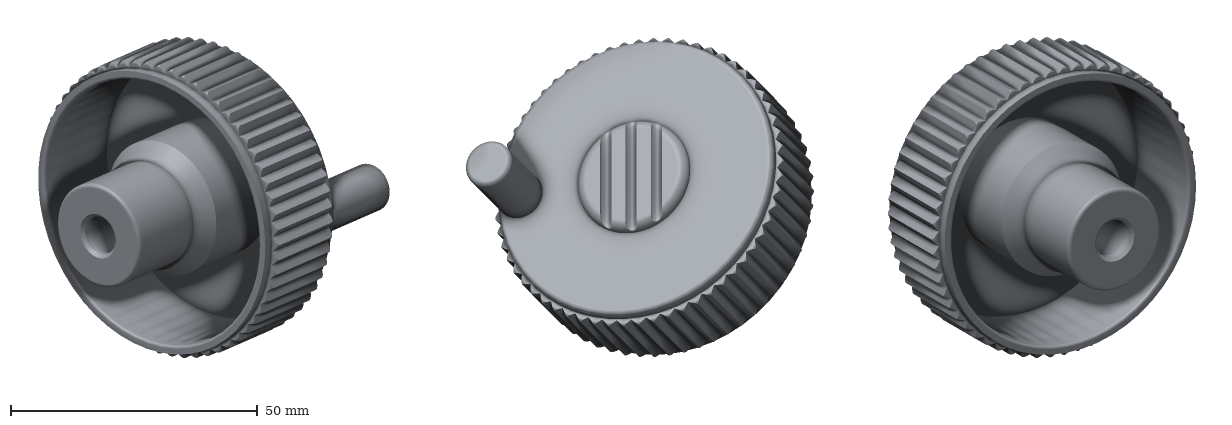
import cadquery as cq
import math


rim_front = 17.0
rim_width = 22.0
rim_back = rim_front + rim_width
web_thickness = 2.3
web_front = rim_back - web_thickness

rim_radius = 59.92 / 2
rim_back_fillet = 1.0
cavity_radius = 56.4 / 2
cavity_mouth_fillet = 0.6

tooth_count = 60
tooth_tip_radius = 63.0 / 2
tooth_root_radius = 30.2
tooth_end_fillet = 0.7
band_margin = 2.1
band_front = rim_front + band_margin
band_width = rim_width - 2 * band_margin

hub_radius = 22.0 / 2
hub_end_fillet = 0.8
hub_root_radius = 28.6 / 2
hub_cone_length = hub_root_radius - hub_radius
bore_radius = 8.0 / 2
bore_mouth_chamfer = 0.7

cap_radius = 24.2 / 2
cap_height = 2.0
cap_back = rim_back + cap_height
cap_groove_radius = 1.2
cap_groove_spacing = 5.5
cap_groove_count = 3

pin_offset = 25.0
pin_radius = 10.0 / 2
pin_length = 17.98
pin_end_fillet = 1.0
pin_shank_radius = 6.0 / 2


def cylinder(radius, start, length, x=0.0):
    """Cylinder along +Y whose near end is at Y = start."""
    return cq.Workplane("XZ", origin=(x, start, 0)).circle(radius).extrude(-length)


def cone(start_radius, end_radius, start, length):
    """Cone frustum about the Y axis, from start_radius to end_radius."""
    return cq.Workplane("XY").add(
        cq.Solid.makeCone(
            start_radius, end_radius, length, cq.Vector(0, start, 0), cq.Vector(0, 1, 0)
        )
    )


def make_rim():
    rim = cylinder(rim_radius, rim_front, rim_width)
    rim = rim.faces(">Y").edges().fillet(rim_back_fillet)
    cavity = cylinder(cavity_radius, rim_front, web_front - rim_front)
    rim = rim.cut(cavity)
    cavity_edge = cq.selectors.RadiusNthSelector(0)
    return rim.faces("<Y").edges(cavity_edge).fillet(cavity_mouth_fillet)


def make_knurl():
    """Pointed teeth around the rim, rounded at both ends of the band."""
    outline = []
    for i in range(2 * tooth_count):
        radius = tooth_root_radius if i % 2 else tooth_tip_radius
        angle = math.pi * i / tooth_count
        outline.append((radius * math.cos(angle), radius * math.sin(angle)))
    teeth = cq.Workplane("XZ", origin=(0, band_front, 0)).polyline(outline).close()
    teeth = teeth.extrude(-band_width)
    blank = cylinder(tooth_tip_radius, band_front, band_width)
    blank = blank.faces("<Y or >Y").edges().fillet(tooth_end_fillet)
    core = cylinder((cavity_radius + rim_radius) / 2, band_front, band_width)
    return teeth.intersect(blank).cut(core)


def make_hub():
    hub = cylinder(hub_radius, 0, rim_back)
    hub = hub.faces("<Y").edges().fillet(hub_end_fillet)
    flare = cone(hub_radius, hub_root_radius, rim_front, hub_cone_length)
    root_start = rim_front + hub_cone_length
    root = cylinder(hub_root_radius, root_start, rim_back - root_start)
    return hub.union(flare).union(root)


def make_bore():
    """Blind bore from the hub end, closed by the web."""
    bore = cylinder(bore_radius, 0, web_front)
    mouth = cone(bore_radius + bore_mouth_chamfer, bore_radius, 0, bore_mouth_chamfer)
    return bore.union(mouth)


def make_cap():
    """Cap with a quarter-round edge over its full height and parallel half-round grooves along Z."""
    flat_radius = cap_radius - cap_height
    arc_middle_radius = flat_radius + cap_height * math.cos(math.pi / 4)
    arc_middle_y = rim_back + cap_height * math.sin(math.pi / 4)
    profile = cq.Workplane("XY").moveTo(0, rim_back).lineTo(cap_radius, rim_back)
    profile = profile.threePointArc((arc_middle_radius, arc_middle_y), (flat_radius, cap_back))
    cap = profile.lineTo(0, cap_back).close().revolve(360, (0, 0, 0), (0, 1, 0))
    for i in range(cap_groove_count):
        x = (i - (cap_groove_count - 1) / 2) * cap_groove_spacing
        groove = cq.Workplane("XY").center(x, cap_back).circle(cap_groove_radius)
        cap = cap.cut(groove.extrude(cap_radius, both=True))
    return cap


def make_pin():
    pin = cylinder(pin_radius, rim_back, pin_length, pin_offset)
    return pin.faces(">Y").edges().fillet(pin_end_fillet)


def make_pin_shank():
    return cylinder(pin_shank_radius, web_front, web_thickness, pin_offset)


wheel = make_rim().union(make_knurl()).union(make_hub()).cut(make_bore())
wheel = wheel.union(make_cap()).union(make_pin())

result = wheel.union(make_pin_shank(), clean=False)